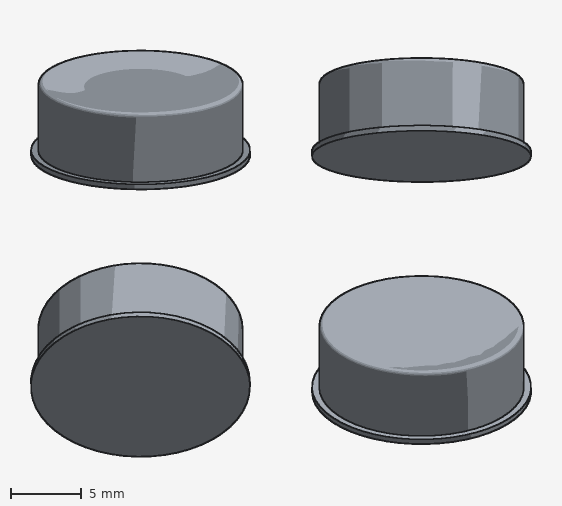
import cadquery as cq
import math

flange_radius = 7.75
flange_thickness = 0.39
body_radius = 14.5 / 2
total_height = 5.49

rim_round = 0.3
floor_radius = 4.0
dish_curve_radius = 11.32

round_center_x = body_radius - rim_round
round_center_z = total_height - rim_round
dish_angle = math.asin((round_center_x - floor_radius) / (dish_curve_radius + rim_round))
dish_center_z = round_center_z + (dish_curve_radius + rim_round) * math.cos(dish_angle)
floor_z = dish_center_z - dish_curve_radius


def on_round(angle):
    """Point on the rim round, with the angle measured inward from its top."""
    return (
        round_center_x - rim_round * math.sin(angle),
        round_center_z + rim_round * math.cos(angle),
    )


def on_dish(angle):
    """Point on the dish arc, with the angle measured outward from its lowest point."""
    return (
        floor_radius + dish_curve_radius * math.sin(angle),
        dish_center_z - dish_curve_radius * math.cos(angle),
    )


section = (
    cq.Workplane("XZ")
    .moveTo(0, 0)
    .lineTo(flange_radius, 0)
    .lineTo(flange_radius, flange_thickness)
    .lineTo(body_radius, flange_thickness)
    .lineTo(body_radius, round_center_z)
    .threePointArc(on_round(-math.pi / 4), on_round(dish_angle))
    .threePointArc(on_dish(dish_angle / 2), (floor_radius, floor_z))
    .lineTo(0, floor_z)
    .close()
)

result = section.revolve(360, (0, 0, 0), (0, 1, 0))